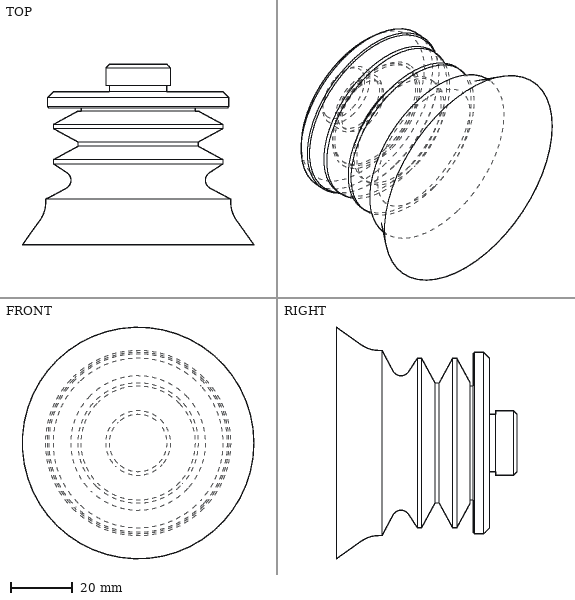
import cadquery as cq
import math


TOTAL_LENGTH = 58.45
LIP_DIAMETER = 75.01

HEAD_DIAMETER = 20.955
STEM_NECK_DIAMETER = 18.63
HEAD_LENGTH = 6.9
STEM_NECK_LENGTH = 2.0
HEAD_CHAMFER = (HEAD_DIAMETER - STEM_NECK_DIAMETER) / 2

FLANGE_DIAMETER = 58.8
FLANGE_TOP_DIAMETER = 55.0
FLANGE_THICKNESS = 5.35
FLANGE_TOP_CHAMFER = (FLANGE_DIAMETER - FLANGE_TOP_DIAMETER) / 2
FLANGE_BOTTOM_CHAMFER = 0.5

COLLAR_DIAMETER = 37.0
COLLAR_LENGTH = 0.9
FOLD_COUNT = 2
FOLD_OUTER_DIAMETER = 55.0
FOLD_ROOT_DIAMETER = 39.0
FOLD_SLOPE_LENGTH = 4.35
FOLD_CREST_LENGTH = 1.35
FOLD_ROOT_LENGTH = 1.35
FOLD_PITCH = 2 * FOLD_SLOPE_LENGTH + FOLD_CREST_LENGTH + FOLD_ROOT_LENGTH

GROOVE_FLOOR_DIAMETER = 43.6
GROOVE_EDGE_DIAMETER = 46.6
GROOVE_TOP_Y = 23.45
GROOVE_BOTTOM_Y = 18.35

CUP_DIAMETER = 60.0
CUP_TOP_Y = 14.8
CUP_BOTTOM_Y = 13.75
FLARE_RADIUS = 10.0
FLARE_ANGLE = math.radians(35.0)

FLANGE_TOP_Y = TOTAL_LENGTH - HEAD_LENGTH - STEM_NECK_LENGTH
FLANGE_BOTTOM_Y = FLANGE_TOP_Y - FLANGE_THICKNESS
BELLOWS_TOP_Y = FLANGE_BOTTOM_Y - COLLAR_LENGTH


def flare_point(angle):
    """Point on the flare after turning by angle from the cup cylinder."""
    x = CUP_DIAMETER / 2 + FLARE_RADIUS * (1 - math.cos(angle))
    y = CUP_BOTTOM_Y - FLARE_RADIUS * math.sin(angle)
    return x, y


def add_stem(profile):
    """Trace the stem from the tip on the axis to the top of the flange."""
    head_bottom = TOTAL_LENGTH - HEAD_LENGTH
    return (
        profile.lineTo(HEAD_DIAMETER / 2 - HEAD_CHAMFER, TOTAL_LENGTH)
        .lineTo(HEAD_DIAMETER / 2, TOTAL_LENGTH - HEAD_CHAMFER)
        .lineTo(HEAD_DIAMETER / 2, head_bottom)
        .lineTo(STEM_NECK_DIAMETER / 2, head_bottom)
        .lineTo(STEM_NECK_DIAMETER / 2, FLANGE_TOP_Y)
    )


def add_flange(profile):
    """Trace the flange and the collar below it."""
    radius = FLANGE_DIAMETER / 2
    return (
        profile.lineTo(FLANGE_TOP_DIAMETER / 2, FLANGE_TOP_Y)
        .lineTo(radius, FLANGE_TOP_Y - FLANGE_TOP_CHAMFER)
        .lineTo(radius, FLANGE_BOTTOM_Y + FLANGE_BOTTOM_CHAMFER)
        .lineTo(radius - FLANGE_BOTTOM_CHAMFER, FLANGE_BOTTOM_Y)
        .lineTo(COLLAR_DIAMETER / 2, FLANGE_BOTTOM_Y)
        .lineTo(COLLAR_DIAMETER / 2, BELLOWS_TOP_Y)
    )


def add_bellows(profile):
    """Trace the folds; the last one runs into the rounded groove."""
    for index in range(FOLD_COUNT):
        fold_top = BELLOWS_TOP_Y - index * FOLD_PITCH
        crest_top = fold_top - FOLD_SLOPE_LENGTH
        crest_bottom = crest_top - FOLD_CREST_LENGTH
        profile = (
            profile.lineTo(FOLD_ROOT_DIAMETER / 2, fold_top)
            .lineTo(FOLD_OUTER_DIAMETER / 2, crest_top)
            .lineTo(FOLD_OUTER_DIAMETER / 2, crest_bottom)
        )
        if index < FOLD_COUNT - 1:
            profile = profile.lineTo(FOLD_ROOT_DIAMETER / 2, crest_bottom - FOLD_SLOPE_LENGTH)
    groove_middle = (GROOVE_TOP_Y + GROOVE_BOTTOM_Y) / 2
    return profile.lineTo(GROOVE_EDGE_DIAMETER / 2, GROOVE_TOP_Y).threePointArc(
        (GROOVE_FLOOR_DIAMETER / 2, groove_middle),
        (GROOVE_EDGE_DIAMETER / 2, GROOVE_BOTTOM_Y),
    )


def add_cup(profile):
    """Trace the cup down to the edge of the lip."""
    return (
        profile.lineTo(CUP_DIAMETER / 2, CUP_TOP_Y)
        .lineTo(CUP_DIAMETER / 2, CUP_BOTTOM_Y)
        .threePointArc(flare_point(FLARE_ANGLE / 2), flare_point(FLARE_ANGLE))
        .lineTo(LIP_DIAMETER / 2, 0)
    )


half_profile = cq.Workplane("XY").moveTo(0, TOTAL_LENGTH)
half_profile = add_stem(half_profile)
half_profile = add_flange(half_profile)
half_profile = add_bellows(half_profile)
half_profile = add_cup(half_profile)
half_profile = half_profile.lineTo(0, 0).close()

result = half_profile.revolve(360, (0, 0, 0), (0, 1, 0))